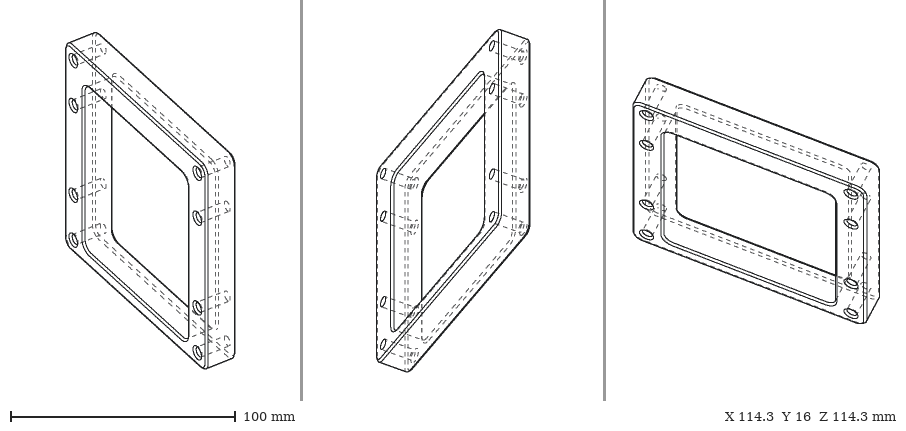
import cadquery as cq

side = 114.3
depth = 16.0
corner_radius = 5.0
edge_chamfer = 1.0

side_rail_width = 15.2
top_rail_width = 15.0
bottom_rail_width = 7.4
window_radius = 4.8

hole_diameter = 4.8
hole_outer_offset = 50.0
hole_inner_offset = hole_outer_offset / 2


def rounded_block(width, height, radius):
    """Block through the full depth with rounded corners."""
    return cq.Workplane("XZ").box(width, height, depth).edges("|Y").fillet(radius)


def make_frame():
    """Outer block with a rounded window through it, chamfered along every front and back rim."""
    window_width = side - 2 * side_rail_width
    window_height = side - top_rail_width - bottom_rail_width
    window_z = (bottom_rail_width - top_rail_width) / 2
    window = rounded_block(window_width, window_height, window_radius).translate((0, 0, window_z))
    frame = rounded_block(side, side, corner_radius).cut(window)
    return frame.faces("<Y or >Y").edges().chamfer(edge_chamfer)


def drill_holes(frame):
    """Through holes with a chamfered mouth on the front face."""
    heights = (-hole_outer_offset, -hole_inner_offset, hole_inner_offset, hole_outer_offset)
    positions = [(x, z) for x in (-hole_outer_offset, hole_outer_offset) for z in heights]
    mouth_diameter = hole_diameter + 2 * edge_chamfer
    return (
        frame.faces("<Y")
        .workplane(origin=(0, -depth / 2, 0))
        .pushPoints(positions)
        .cskHole(hole_diameter, mouth_diameter, 90)
    )


result = drill_holes(make_frame())